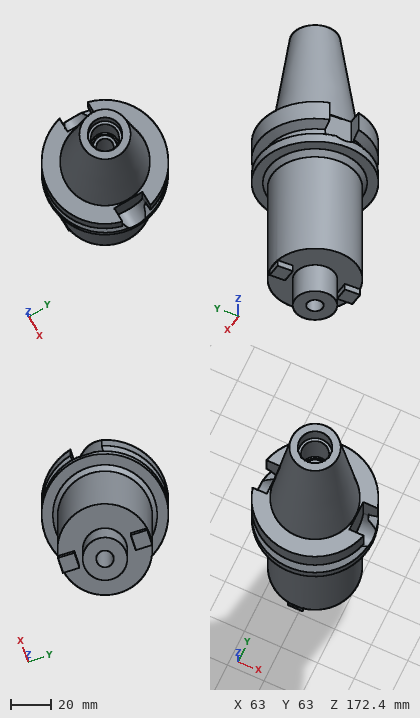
import cadquery as cq

total_height = 172.4
taper_length = 65.3
collar_height = 0.9
pilot_height = 17.0
flange_top = total_height - taper_length - collar_height

taper_small_diameter = 25.3
taper_large_diameter = 44.5
flange_diameter = 63.0
groove_diameter = 53.5
shoulder_diameter = 51.7
body_diameter = 47.0
pilot_diameter = 22.0

groove_start = 11.0
groove_flank = 2.8
groove_floor = 4.3
rim_bottom = 26.0
shoulder_bottom = 29.3

through_diameter = 8.6
mouth_diameter = 17.0
mouth_depth = 9.0
thread_diameter = 14.0
thread_depth = 29.3
thread_end_diameter = 12.0
thread_end_depth = 31.0

slot_width = 16.2
slot_depth = 22.4
slot_floor_distance = 22.5

key_width = 8.1
key_height = 3.6
key_inner = 14.7
key_outer = 23.3


def make_body():
    """Revolve the outer profile of taper, flange, body and pilot."""
    floor_top = groove_start + groove_flank
    floor_bottom = floor_top + groove_floor
    diameters_and_heights = [
        (pilot_diameter, 0),
        (pilot_diameter, pilot_height),
        (body_diameter, pilot_height),
        (body_diameter, flange_top - shoulder_bottom),
        (shoulder_diameter, flange_top - rim_bottom),
        (flange_diameter, flange_top - rim_bottom),
        (flange_diameter, flange_top - floor_bottom - groove_flank),
        (groove_diameter, flange_top - floor_bottom),
        (groove_diameter, flange_top - floor_top),
        (flange_diameter, flange_top - groove_start),
        (flange_diameter, flange_top),
        (taper_large_diameter, flange_top),
        (taper_large_diameter, flange_top + collar_height),
        (taper_small_diameter, total_height),
    ]
    outline = [(diameter / 2, height) for diameter, height in diameters_and_heights]
    points = [(0, 0)] + outline + [(0, total_height)]
    return cq.Workplane("XZ").polyline(points).close().revolve(360, (0, 0), (0, 1))


def make_bore(diameter, depth):
    """Cylinder reaching down from the small end of the taper."""
    return cq.Workplane("XY").workplane(offset=total_height).circle(diameter / 2).extrude(-depth)


def make_drive_slot(side):
    """Slot with a round lower end, open at the flange top and outer edge."""
    half_width = slot_width / 2
    slot_bottom = flange_top - slot_depth
    arc_height = slot_bottom + half_width
    return (
        cq.Workplane("YZ")
        .workplane(offset=side * slot_floor_distance)
        .moveTo(-half_width, flange_top)
        .lineTo(-half_width, arc_height)
        .threePointArc((0, slot_bottom), (half_width, arc_height))
        .lineTo(half_width, flange_top)
        .close()
        .extrude(side * flange_diameter / 2)
    )


def make_drive_key(side):
    """Rectangular key hanging below the end face of the body."""
    return (
        cq.Workplane("XY")
        .workplane(offset=pilot_height)
        .center(0, side * (key_inner + key_outer) / 2)
        .rect(key_width, key_outer - key_inner)
        .extrude(-key_height)
    )


result = make_body()
for side in (-1, 1):
    result = result.cut(make_drive_slot(side))
    result = result.union(make_drive_key(side))

bore_steps = [
    (through_diameter, total_height),
    (thread_end_diameter, thread_end_depth),
    (thread_diameter, thread_depth),
    (mouth_diameter, mouth_depth),
]
for diameter, depth in bore_steps:
    result = result.cut(make_bore(diameter, depth))